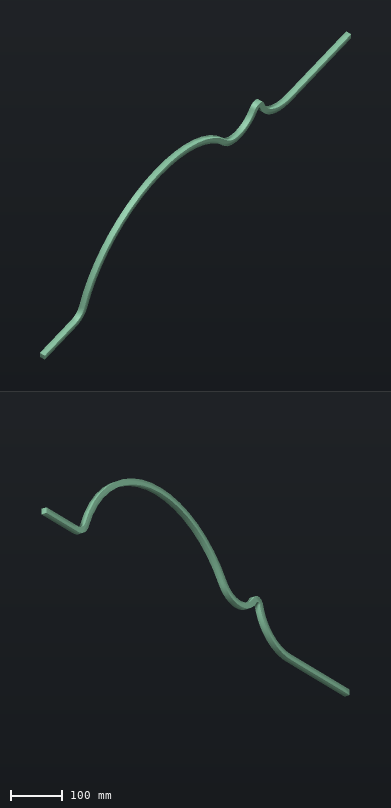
import cadquery as cq
import math

LENGTH = 1000.0
BAR_SIZE = 12.0
FIRST_FLAT_LENGTH = 194.0

RISE_RADIUS = 100.0
CREST_RADIUS = 11.0
VALLEY_RADIUS = 60.0
ARCH_RADIUS = 258.0
FOOT_RADIUS = 34.0

CREST_HEIGHT = 82.0
VALLEY_HEIGHT = 50.0
ARCH_HEIGHT = 190.0

HALF_BAR = BAR_SIZE / 2


def next_tangent_center(center, radius, next_height, next_radius):
    """Center of the following bend, tangent to this one and further along the bar."""
    gap = radius + next_radius
    step = math.sqrt(gap**2 - (next_height - center[1]) ** 2)
    return (center[0] + step, next_height)


BENDS = [
    (RISE_RADIUS, RISE_RADIUS, 1),
    (CREST_HEIGHT - CREST_RADIUS, CREST_RADIUS, -1),
    (VALLEY_HEIGHT + VALLEY_RADIUS, VALLEY_RADIUS, 1),
    (ARCH_HEIGHT - ARCH_RADIUS, ARCH_RADIUS, -1),
    (FOOT_RADIUS, FOOT_RADIUS, 1),
]

centers = [(FIRST_FLAT_LENGTH, RISE_RADIUS)]
for (_, radius, _), (next_height, next_radius, _) in zip(BENDS, BENDS[1:]):
    centers.append(next_tangent_center(centers[-1], radius, next_height, next_radius))


def joint_direction(index):
    """Unit vector from bend center `index` to the next one; it crosses the bar squarely."""
    (start, low), (end, high) = centers[index], centers[index + 1]
    gap = math.hypot(end - start, high - low)
    return ((end - start) / gap, (high - low) / gap)


def bend_ends(index):
    """Unit vectors from a bend center to the two ends of its arc."""
    down = (0.0, -1.0)
    if index == 0:
        first = down
    else:
        along, up = joint_direction(index - 1)
        first = (-along, -up)
    last = down if index == len(BENDS) - 1 else joint_direction(index)
    return first, last


def bend_points(index, offset):
    """Start, middle and end of one bend, shifted upwards off the centreline by offset."""
    _, radius, side = BENDS[index]
    first, last = bend_ends(index)
    middle_sum = (first[0] + last[0], first[1] + last[1])
    middle_size = math.hypot(*middle_sum)
    middle = (middle_sum[0] / middle_size, middle_sum[1] / middle_size)
    face_radius = radius - side * offset
    center = centers[index]
    return [
        (center[0] + face_radius * along, center[1] + face_radius * up)
        for along, up in (first, middle, last)
    ]


def to_sketch(point):
    """Sketch coordinates (Y, Z), with the part centered in Y and resting on Z = 0."""
    return (LENGTH / 2 - point[0], point[1] + HALF_BAR)


def bar_outline():
    """Closed side outline: along the top face, then back along the bottom face."""
    outline = cq.Workplane("YZ").moveTo(*to_sketch((0, HALF_BAR)))
    outline = outline.lineTo(*to_sketch((FIRST_FLAT_LENGTH, HALF_BAR)))
    for index in range(len(BENDS)):
        _, middle, end = bend_points(index, HALF_BAR)
        outline = outline.threePointArc(to_sketch(middle), to_sketch(end))
    outline = outline.lineTo(*to_sketch((LENGTH, HALF_BAR)))
    outline = outline.lineTo(*to_sketch((LENGTH, -HALF_BAR)))
    outline = outline.lineTo(*to_sketch((centers[-1][0], -HALF_BAR)))
    for index in reversed(range(len(BENDS))):
        start, middle, _ = bend_points(index, -HALF_BAR)
        outline = outline.threePointArc(to_sketch(middle), to_sketch(start))
    return outline.lineTo(*to_sketch((0, -HALF_BAR))).close()


result = bar_outline().extrude(HALF_BAR, both=True)